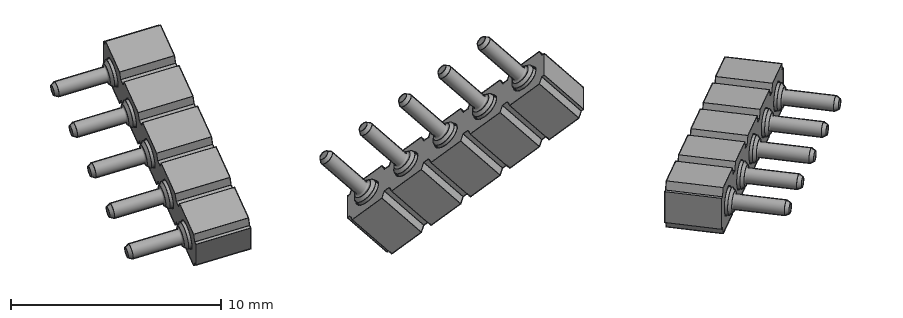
import cadquery as cq

pin_count = 5
pitch = 2.54
pin_positions = [(index - (pin_count - 1) / 2) * pitch for index in range(pin_count)]

housing_length = pin_count * pitch
housing_depth = 2.79
housing_height = 2.54

notch_mouth_width = 0.62
notch_floor_width = 0.31
notch_depth = 0.42
notch_positions = [(index - pin_count / 2) * pitch for index in range(pin_count + 1)]

barrel_radius = 0.73
collar_radius = 0.68
barrel_recess = 0.10
barrel_bevel = barrel_radius - collar_radius
collar_straight_length = 0.15
collar_bevel = 0.16
collar_length = collar_straight_length + collar_bevel
shaft_radius = 0.38
shaft_root_fillet = 0.07
pin_reach = 3.05
tip_radius = 0.26
tip_length = 0.2


def make_notch_pair(x):
    """Notch cutters at one X place, one for the top and one for the bottom of the housing."""
    top_notch = (
        cq.Workplane("XZ", origin=(x, 0, 0))
        .moveTo(-notch_mouth_width / 2, housing_height / 2)
        .lineTo(-notch_floor_width / 2, housing_height / 2 - notch_depth)
        .lineTo(notch_floor_width / 2, housing_height / 2 - notch_depth)
        .lineTo(notch_mouth_width / 2, housing_height / 2)
        .close()
        .extrude(-housing_depth)
    )
    return top_notch.add(top_notch.mirror("XY"))


def make_housing():
    """Notched block with one round through hole for each pin barrel."""
    block = cq.Workplane("XY").box(
        housing_length, housing_depth, housing_height, centered=(True, False, True)
    )
    for x in notch_positions:
        for notch in make_notch_pair(x).vals():
            block = block.cut(cq.Workplane(notch))
    barrel_holes = (
        cq.Workplane("XZ")
        .pushPoints([(x, 0) for x in pin_positions])
        .circle(barrel_radius)
        .extrude(-housing_depth)
    )
    return block.cut(barrel_holes)


def make_pin(x):
    """Pin turned about the Y direction; its barrel ends flush with the back of the housing."""
    fillet_start_radius = shaft_radius + shaft_root_fillet
    fillet_end_y = -collar_length - shaft_root_fillet
    return (
        cq.Workplane("XY", origin=(x, 0, 0))
        .moveTo(0, housing_depth)
        .lineTo(barrel_radius, housing_depth)
        .lineTo(barrel_radius, barrel_recess + barrel_bevel)
        .lineTo(collar_radius, barrel_recess)
        .lineTo(collar_radius, -collar_straight_length)
        .lineTo(collar_radius - collar_bevel, -collar_length)
        .lineTo(fillet_start_radius, -collar_length)
        .radiusArc((shaft_radius, fillet_end_y), -shaft_root_fillet)
        .lineTo(shaft_radius, tip_length - pin_reach)
        .lineTo(tip_radius, -pin_reach)
        .lineTo(0, -pin_reach)
        .close()
        .revolve(360, (0, 0, 0), (0, 1, 0))
    )


housing = make_housing()
pins = [make_pin(x) for x in pin_positions]

result = cq.Compound.makeCompound([housing.val(), *[pin.val() for pin in pins]])